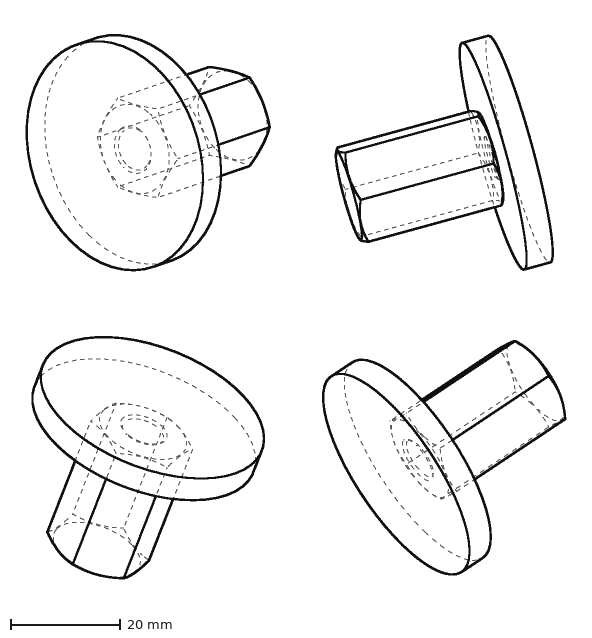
import cadquery as cq
import math

plate_diameter = 43.0
plate_thickness = 5.0
neck_tip_diameter = 7.9
neck_length = 0.5
neck_base_diameter = 8.95
hex_across_flats = 17.0
hex_length = 27.0
hex_end_diameter = 16.75
chamfer_angle = 30.0

hex_start = plate_thickness + neck_length
hex_across_corners = hex_across_flats / math.cos(math.radians(30))


def axial_plane(y):
    """Plane at height y along the axis, with its normal toward +Y."""
    return cq.Workplane(cq.Plane(origin=(0, y, 0), xDir=(1, 0, 0), normal=(0, 1, 0)))


def make_plate():
    """Round plate with a short conical neck that widens toward the plate."""
    plate_radius = plate_diameter / 2
    neck_base_radius = neck_base_diameter / 2
    neck_tip_radius = neck_tip_diameter / 2
    profile = (
        cq.Workplane("XY")
        .lineTo(plate_radius, 0)
        .lineTo(plate_radius, plate_thickness)
        .lineTo(neck_base_radius, plate_thickness)
        .lineTo(neck_tip_radius, hex_start)
        .lineTo(0, hex_start)
        .close()
    )
    return profile.revolve(360, (0, 0, 0), (0, 1, 0))


def make_hex_standoff():
    """Hexagonal bar with its corners turned down to a cone at both ends."""
    bar = axial_plane(hex_start).polygon(6, hex_across_corners).extrude(hex_length)
    corner_radius = hex_across_corners / 2
    end_radius = hex_end_diameter / 2
    chamfer_height = (corner_radius - end_radius) * math.tan(math.radians(chamfer_angle))
    hex_end = hex_start + hex_length
    turning_profile = (
        cq.Workplane("XY")
        .moveTo(0, hex_start)
        .lineTo(end_radius, hex_start)
        .lineTo(corner_radius, hex_start + chamfer_height)
        .lineTo(corner_radius, hex_end - chamfer_height)
        .lineTo(end_radius, hex_end)
        .lineTo(0, hex_end)
        .close()
    )
    turned_envelope = turning_profile.revolve(360, (0, hex_start, 0), (0, hex_end, 0))
    return bar.intersect(turned_envelope)


plate = make_plate()
hex_standoff = make_hex_standoff()

result = cq.Compound.makeCompound([plate.val(), hex_standoff.val()])